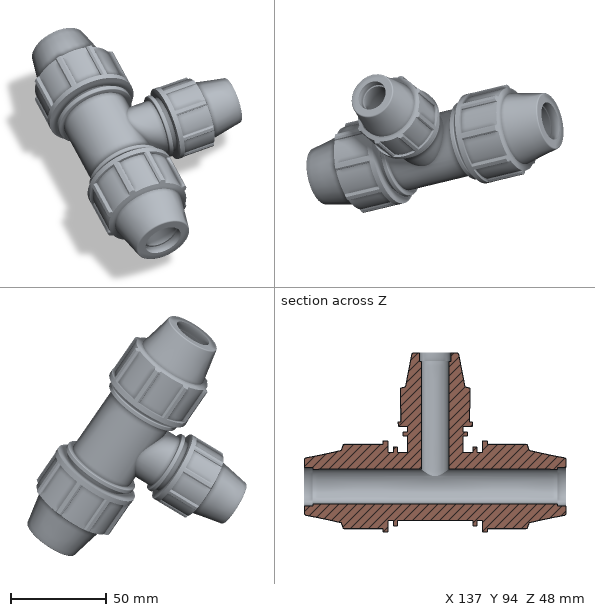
import cadquery as cq
import math

run_length = 137.0
branch_reach = 70.0

tip_fillet = 0.7
ring_fillet = 0.4

panel_count = 8
panel_pitch = 360.0 / panel_count
panel_floor_angle = 17.8
panel_mouth_angle = 19.8
panel_overcut = 0.7

run_socket = dict(
    tip_diameter=30.0,
    sleeve_diameter=38.1,
    nut_start=19.2,
    nut_shoulder=21.0,
    nut_diameter=48.0,
    panel_diameter=44.4,
    ledge_diameter=46.0,
    flange_start=41.1,
    flange_end=43.8,
    ring_start=46.5,
    ring_end=48.9,
    ring_diameter=41.8,
    pipe_diameter=36.0,
    bore_diameter=18.0,
    mouth_diameter=20.0,
    mouth_depth=4.4,
)
branch_socket = dict(
    tip_diameter=24.5,
    sleeve_diameter=31.4,
    nut_start=17.7,
    nut_shoulder=18.8,
    nut_diameter=39.0,
    panel_diameter=36.5,
    ledge_diameter=37.7,
    flange_start=36.0,
    flange_end=38.6,
    ring_start=41.4,
    ring_end=43.5,
    ring_diameter=34.0,
    pipe_diameter=29.3,
    bore_diameter=14.4,
    mouth_diameter=16.0,
    mouth_depth=4.4,
)


def cylinder(diameter, start, end):
    """Cylinder on the Z axis between two heights."""
    return cq.Workplane("XY").workplane(offset=start).circle(diameter / 2).extrude(end - start)


def frustum(start_diameter, end_diameter, start, end):
    """Truncated cone on the Z axis between two heights."""
    return (
        cq.Workplane("XY")
        .workplane(offset=start)
        .circle(start_diameter / 2)
        .workplane(offset=end - start)
        .circle(end_diameter / 2)
        .loft(ruled=True)
    )


def polar(radius, angle):
    """Point at a radius and an angle in degrees."""
    return (radius * math.cos(math.radians(angle)), radius * math.sin(math.radians(angle)))


def panel_cutter(socket):
    """Recess with a curved floor and radial sides that flare out above a ledge, centred on the local X axis."""
    floor_radius = socket["panel_diameter"] / 2
    ledge_radius = socket["ledge_diameter"] / 2
    nut_radius = socket["nut_diameter"] / 2
    flare = (panel_mouth_angle - panel_floor_angle) / (nut_radius - ledge_radius)
    outer_radius = nut_radius + panel_overcut
    outer_angle = panel_mouth_angle + flare * panel_overcut
    return (
        cq.Workplane("XY")
        .workplane(offset=socket["nut_start"])
        .moveTo(*polar(floor_radius, -panel_floor_angle))
        .threePointArc(polar(floor_radius, 0), polar(floor_radius, panel_floor_angle))
        .lineTo(*polar(ledge_radius, panel_floor_angle))
        .lineTo(*polar(outer_radius, outer_angle))
        .threePointArc(polar(outer_radius, 0), polar(outer_radius, -outer_angle))
        .lineTo(*polar(ledge_radius, -panel_floor_angle))
        .close()
        .extrude(socket["flange_start"] - socket["nut_start"])
    )


def nut(socket):
    """Union nut: conical front face, recessed grip panels and a plain flange at the back."""
    body = frustum(
        socket["sleeve_diameter"], socket["nut_diameter"], socket["nut_start"], socket["nut_shoulder"]
    ).union(cylinder(socket["nut_diameter"], socket["nut_shoulder"], socket["flange_end"]))
    cutter = panel_cutter(socket)
    for index in range(panel_count):
        body = body.cut(cutter.rotate((0, 0, 0), (0, 0, 1), index * panel_pitch))
    return body


def sleeve_and_nut(socket):
    """Tapered sleeve with its nut, the open end at Z = 0."""
    sleeve = frustum(socket["tip_diameter"], socket["sleeve_diameter"], 0, socket["nut_start"])
    sleeve = sleeve.faces("<Z").edges().fillet(tip_fillet)
    return sleeve.union(nut(socket))


def collar_ring(socket):
    """Round-edged ring on the pipe behind the nut."""
    ring = cylinder(socket["ring_diameter"], socket["ring_start"], socket["ring_end"])
    return ring.edges().fillet(ring_fillet)


def mouth(socket):
    """Wider stretch of the bore at the open end."""
    return cylinder(socket["mouth_diameter"], 0, socket["mouth_depth"])


def place_left(shape):
    """Put the open end at the -X side, facing -X."""
    return shape.rotate((0, 0, 0), (0, 1, 0), 90).translate((-run_length / 2, 0, 0))


def place_branch(shape):
    """Put the open end at the +Y side, facing +Y."""
    return shape.rotate((0, 0, 0), (1, 0, 0), 90).translate((0, branch_reach, 0))


def tee_cylinders(run_diameter, branch_diameter, run_start=0, branch_start=0):
    """Plain run and branch cylinders, each starting at a distance from its open ends."""
    run = cylinder(run_diameter, run_start, run_length - run_start)
    branch = cylinder(branch_diameter, branch_start, branch_reach)
    return place_left(run).union(place_branch(branch))


def on_every_end(make):
    """Shapes made for the two run ends and the branch end, each in place."""
    left = place_left(make(run_socket))
    return [left, left.mirror("YZ"), place_branch(make(branch_socket))]


result = tee_cylinders(
    run_socket["pipe_diameter"],
    branch_socket["pipe_diameter"],
    run_socket["nut_start"],
    branch_socket["nut_start"],
)
for shape in on_every_end(sleeve_and_nut) + on_every_end(collar_ring):
    result = result.union(shape)
result = result.cut(tee_cylinders(run_socket["bore_diameter"], branch_socket["bore_diameter"]))
for shape in on_every_end(mouth):
    result = result.cut(shape)